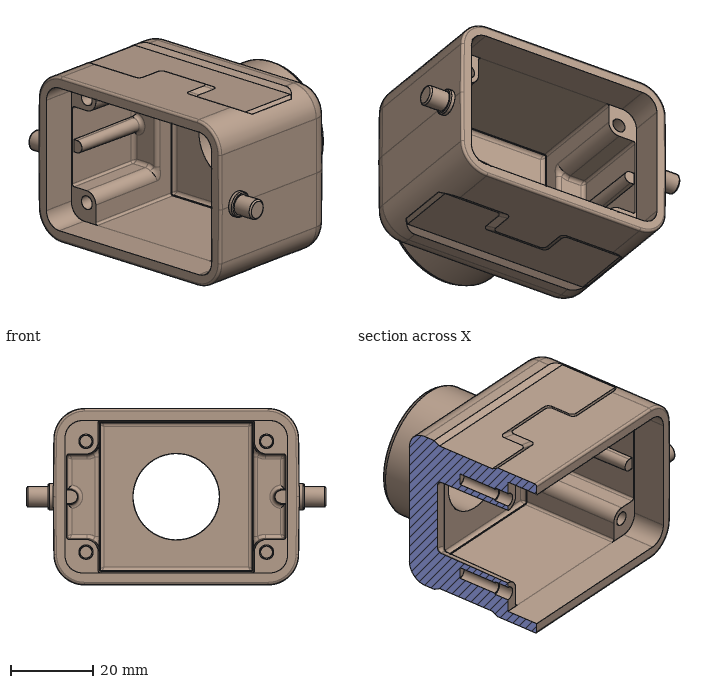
import cadquery as cq
import math

overall_length = 52.5
body_length = 40.0
body_height = 43.0
body_width = 60.0
side_bulge = 0.25
body_corner_radius = 7.5
back_edge_radius = 5.0
rim_radius = 0.65

neck_diameter = 34.0
neck_end_chamfer = 0.6
neck_end_chamfer_length = 1.1
neck_root_radius = 0.9
cable_hole_diameter = 21.0

opening_width = 54.2
opening_height = 37.1
opening_corner_radius = 4.2
boss_face_depth = 9.0
cavity_width = 38.1
cavity_floor = 37.0
side_pocket_span = 53.4
side_pocket_height = 20.8
side_pocket_floor = 31.0
draft_angle = 0.7
boss_edge_radius = 3.0
cavity_corner_radius = 0.6
floor_radius = 1.1
pocket_floor_radius = 1.0

screw_pitch_x = 44.0
screw_pitch_z = 27.0
screw_hole_diameter = 2.9
screw_hole_end = 24.0
screw_lead_in_diameter = 3.5
screw_lead_in_end = 13.1
rib_start = 9.5
rib_radius = 1.85
rib_reach = 3.3
rib_root_radius = 1.0

pin_span = 73.0
pin_y = 6.2
pin_diameter = 5.1
pin_chamfer = 0.4
pin_collar_diameter = 6.5
pin_collar_span = 62.4
pin_collar_chamfer = 0.3

recess_depth = 0.9
recess_run = 1.7
recess_front = 13.9
recess_back = 30.4
tab_half_width = 9.2
tab_back = 21.8
tab_corner_radius = 1.3
panel_half_width = 25.6
panel_edge_half_width = 26.8
panel_edge_drop = 0.6

half_height = body_height / 2
overlap = 1.0
selection_margin = 0.1


def prism(sketch, y_start, y_end, taper=0.0):
    """Extrude an XZ outline from y_start towards +Y, up to y_end."""
    plane = cq.Plane(origin=(0, y_start, 0), xDir=(-1, 0, 0), normal=(0, 1, 0))
    return cq.Workplane(plane).placeSketch(sketch).extrude(y_end - y_start, taper=taper)


def make_body():
    side_x = body_width / 2
    end_x = side_x - side_bulge
    outline = [
        (side_x, 0),
        (end_x, half_height),
        (-end_x, half_height),
        (-side_x, 0),
        (-end_x, -half_height),
        (end_x, -half_height),
    ]
    body = cq.Workplane("XZ").polyline(outline).close().extrude(-body_length)
    corners = [p for p in outline if p[1] != 0]
    for x, z in corners:
        nearest = cq.selectors.NearestToPointSelector((x, body_length / 2, z))
        body = body.edges("|Y").edges(nearest).fillet(body_corner_radius)
    body = body.faces(">Y").edges().fillet(back_edge_radius)
    return body.faces("<Y").edges().fillet(rim_radius)


def make_neck():
    """Round neck with a hollow root fillet, revolved about the Y axis."""
    radius = neck_diameter / 2
    root_y = body_length + neck_root_radius
    mid = neck_root_radius * (1 - math.sqrt(0.5))
    profile = (
        cq.Workplane("XY")
        .moveTo(0, body_length - back_edge_radius)
        .lineTo(radius + neck_root_radius, body_length - back_edge_radius)
        .lineTo(radius + neck_root_radius, body_length)
        .threePointArc((radius + mid, body_length + mid), (radius, root_y))
        .lineTo(radius, overall_length - neck_end_chamfer_length)
        .lineTo(radius - neck_end_chamfer, overall_length)
        .lineTo(0, overall_length)
        .close()
    )
    return profile.revolve(360, (0, 0, 0), (0, 1, 0))


def make_rib(side):
    """Half-round keying rib along the end wall, flared where it meets the pocket floor."""
    axis_x = side * (opening_width / 2 - rib_reach + rib_radius)
    foot_y = side_pocket_floor + overlap
    neck_y = side_pocket_floor - rib_root_radius
    end_radius = rib_radius - (neck_y - rib_start) * math.tan(math.radians(draft_angle))
    foot_radius = rib_radius + rib_root_radius
    mid = rib_root_radius * (1 - math.sqrt(0.5))
    round_part = (
        cq.Workplane("XY", origin=(axis_x, 0, 0))
        .moveTo(0, rib_start)
        .lineTo(end_radius, rib_start)
        .lineTo(rib_radius, neck_y)
        .threePointArc((rib_radius + mid, side_pocket_floor - mid), (foot_radius, side_pocket_floor))
        .lineTo(foot_radius, foot_y)
        .lineTo(0, foot_y)
        .close()
        .revolve(360, (0, 0, 0), (0, 1, 0))
    )
    web = prism(cq.Sketch().rect(2 * rib_radius, 2 * end_radius), rib_start, foot_y, -draft_angle)
    return round_part.union(web.translate((axis_x + side * rib_radius, 0, 0)))


def fillet_lengthwise(solid, width, height, radius):
    """Round the four lengthwise edges nearest the corners of a width x height rectangle."""
    mid_y = (boss_face_depth + side_pocket_floor) / 2
    for x in (-width / 2, width / 2):
        for z in (-height / 2, height / 2):
            nearest = cq.selectors.NearestToPointSelector((x, mid_y, z))
            solid = solid.edges(nearest).fillet(radius)
    return solid


def make_cavity():
    """Space inside the hood: open mouth, central chamber and two side pockets."""
    mouth_outline = cq.Sketch().rect(opening_width, opening_height).vertices().fillet(opening_corner_radius)
    mouth = prism(mouth_outline, 0, boss_face_depth)
    chamber = prism(cq.Sketch().rect(cavity_width, opening_height), boss_face_depth, cavity_floor, draft_angle)
    pockets = prism(
        cq.Sketch().rect(side_pocket_span, side_pocket_height),
        boss_face_depth,
        side_pocket_floor,
        draft_angle,
    )
    inner = chamber.union(pockets)
    inner = fillet_lengthwise(inner, cavity_width, side_pocket_height, boss_edge_radius)
    pocket_floor_edges = cq.selectors.BoxSelector(
        (-opening_width, side_pocket_floor - selection_margin, -opening_height),
        (opening_width, side_pocket_floor + selection_margin, opening_height),
    )
    inner = inner.edges(pocket_floor_edges).fillet(pocket_floor_radius)
    inner = inner.faces(">Y").edges().fillet(floor_radius)
    inner = fillet_lengthwise(inner, side_pocket_span, side_pocket_height, cavity_corner_radius)
    inner = fillet_lengthwise(inner, cavity_width, opening_height, cavity_corner_radius)
    for side in (-1, 1):
        inner = inner.cut(make_rib(side))
    return mouth.union(inner)


def screw_points():
    return [(x * screw_pitch_x / 2, z * screw_pitch_z / 2) for x in (-1, 1) for z in (-1, 1)]


def make_screw_hole(x, z):
    """Blind screw hole with a wider lead-in."""
    hole = prism(cq.Sketch().circle(screw_hole_diameter / 2), boss_face_depth, screw_hole_end)
    lead_in = prism(cq.Sketch().circle(screw_lead_in_diameter / 2), boss_face_depth, screw_lead_in_end)
    return hole.union(lead_in).translate((x, 0, z))


def make_pin(side):
    """Locking pin with its collar, reaching out along X on the given side."""
    root_x = opening_width / 2 + overlap
    plane = cq.Plane(origin=(side * root_x, pin_y, 0), xDir=(0, 1, 0), normal=(side, 0, 0))
    tip = ">X" if side > 0 else "<X"
    pin = cq.Workplane(plane).circle(pin_diameter / 2).extrude(pin_span / 2 - root_x)
    pin = pin.faces(tip).chamfer(pin_chamfer)
    collar = cq.Workplane(plane).circle(pin_collar_diameter / 2).extrude(pin_collar_span / 2 - root_x)
    return pin.union(collar.faces(tip).chamfer(pin_collar_chamfer))


def recess_outline(height):
    """Recess outline at a height above the panel; its borders spread as they rise."""
    spread = recess_run * height / recess_depth
    front = recess_front - spread
    tab_y = tab_back - spread
    tab_x = tab_half_width - spread
    end_x = body_width / 2 + overlap
    r = tab_corner_radius
    return (
        cq.Workplane("XY", origin=(0, 0, half_height - recess_depth + height))
        .moveTo(-end_x, front)
        .lineTo(-tab_x - r, front)
        .radiusArc((-tab_x, front + r), -r)
        .lineTo(-tab_x, tab_y - r)
        .radiusArc((-tab_x + r, tab_y), r)
        .lineTo(tab_x - r, tab_y)
        .radiusArc((tab_x, tab_y - r), r)
        .lineTo(tab_x, front + r)
        .radiusArc((tab_x + r, front), -r)
        .lineTo(end_x, front)
        .lineTo(end_x, recess_back + spread)
        .lineTo(-end_x, recess_back + spread)
        .close()
        .val()
    )


def make_recess():
    """Cutter for the top label recess, whose panel bends down at both ends."""
    rise = recess_depth + 0.1
    block = cq.Workplane(
        cq.Solid.makeLoft([recess_outline(-panel_edge_drop), recess_outline(rise)], True)
    )
    panel_z = half_height - recess_depth
    edge_z = panel_z - panel_edge_drop
    top_z = half_height + overlap
    above_panel = (
        cq.Workplane("XZ")
        .polyline([
            (-panel_half_width, panel_z),
            (panel_half_width, panel_z),
            (panel_edge_half_width, edge_z),
            (panel_edge_half_width, top_z),
            (-panel_edge_half_width, top_z),
            (-panel_edge_half_width, edge_z),
        ])
        .close()
        .extrude(-body_length)
    )
    return block.intersect(above_panel)


hood = make_body().union(make_neck())
hood = hood.cut(make_cavity())
hood = hood.cut(cq.Workplane("XZ").circle(cable_hole_diameter / 2).extrude(-overall_length))
for hole_x, hole_z in screw_points():
    hood = hood.cut(make_screw_hole(hole_x, hole_z))
for pin_side in (-1, 1):
    hood = hood.union(make_pin(pin_side))
top_recess = make_recess()
hood = hood.cut(top_recess).cut(top_recess.mirror("XY"))

result = hood